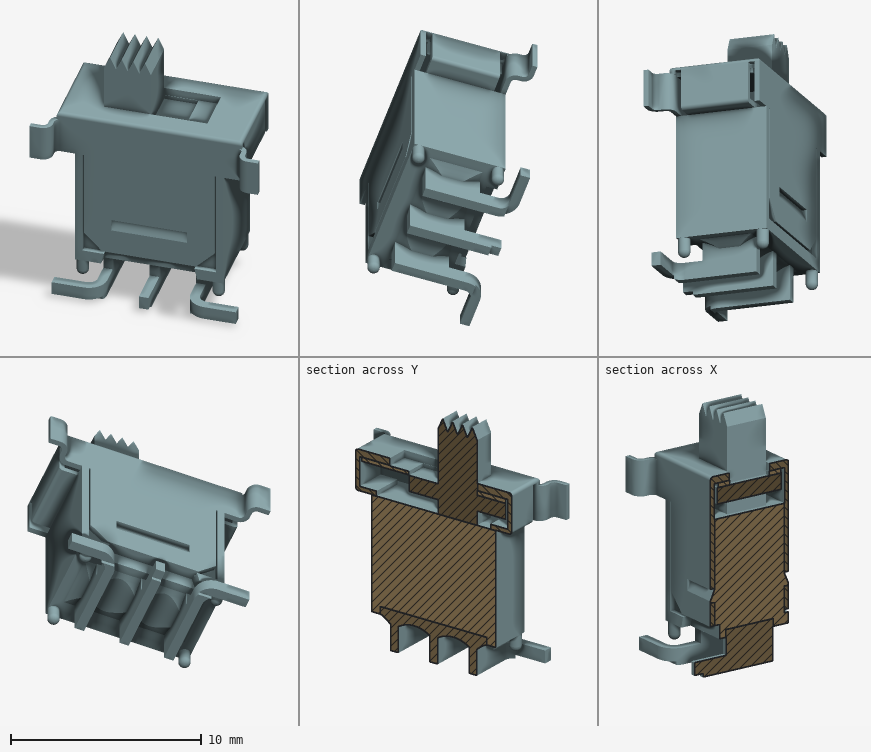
import cadquery as cq
import math


overall_height = 14.2

half_depth = 2.53
housing_half_width = 4.05
housing_top = 6.73
recess_half_width = 3.65
recess_bottom = 0.64
notch_half_width_bottom = 2.63
notch_half_width_top = 2.44
notch_depth = 0.6
pin_diameter = 0.65
pin_length = 1.01
pin_end_radius = 0.31
latch_half_width = 2.07
latch_top = 2.87
latch_lip_top = 2.22
latch_bottom = 2.09

sheet = 0.28
cover_half_width = 5.07
cover_top = 9.13
cover_roof = 0.44
cover_edge_radius = 0.2
plate_half_width = 3.56
plate_bottom = 0.8
plate_chamfer = 1.0
slot_half_length = 2.83
slot_half_depth = 1.28
tab_half_depth = 1.87
tab_foot_end = 3.69
bracket_top = 8.73
bracket_start = 4.85
bracket_straight = 0.23
bracket_bend = 0.25
bracket_end = 6.25

knob_left = -slot_half_length
knob_width = 2.55
knob_half_depth = 1.25
knob_root = 11.6
tooth_height = 0.68
tooth_count = 4
flange_half_length = 3.14
flange_half_depth = 2.07
flange_thickness = 0.94
gasket_half_length = 4.69
gasket_half_depth = 2.02
gasket_thickness = 0.23
gasket_hole_right = 1.6

terminal_pitch = 2.54
terminal_width = 0.53
terminal_half_depth = 1.5
terminal_bottom = knob_root + tooth_height - overall_height
leg_top = -0.98
foot_bottom = -1.72
foot_half_span = 5.04
terminal_bend = 0.48
terminal_front = -3.55
clearance_front = -3.0
seal_half_width = 3.44
seal_half_depth = 1.46
seal_embedment = 0.43
seal_climb = 0.41
seal_valley = 0.11
seal_crest_half_depth = 0.58
seal_sag = 0.04

wall_inside = half_depth - sheet
roof_underside = cover_top - cover_roof
flange_top = roof_underside - gasket_thickness
flange_bottom = flange_top - flange_thickness
knob_middle = knob_left + knob_width / 2
outer_bend = bracket_bend + sheet
diagonal = math.sqrt(0.5)


def box(x0, x1, y0, y1, z0, z1):
    """Block between two opposite corners."""
    return cq.Workplane("XY").box(x1 - x0, y1 - y0, z1 - z0, centered=False).translate((x0, y0, z0))


def mirrored_in_x(half):
    """A feature on the left together with its mirror image on the right."""
    return half.union(half.mirror("YZ"))


def mirrored_in_y(half):
    """A feature at the front together with its mirror image at the back."""
    return half.union(half.mirror("XZ"))


def make_latch():
    """Snap wedge on the front recess floor, flush with the housing front at its lip."""
    profile = [
        (-wall_inside, latch_bottom),
        (-half_depth, latch_bottom),
        (-half_depth, latch_lip_top),
        (-wall_inside, latch_top),
    ]
    wedge = cq.Workplane("YZ").polyline(profile).close()
    return wedge.extrude(latch_half_width, both=True)


def make_bottom_notch():
    """Tapered notch in the lower front edge of the housing."""
    profile = [
        (-notch_half_width_bottom, 0),
        (notch_half_width_bottom, 0),
        (notch_half_width_top, plate_bottom),
        (-notch_half_width_top, plate_bottom),
    ]
    notch = cq.Workplane("XZ", origin=(0, -half_depth, 0)).polyline(profile).close()
    return notch.extrude(-notch_depth)


def make_housing():
    body = box(-housing_half_width, housing_half_width, -half_depth, half_depth, 0, housing_top)
    recess = box(
        -recess_half_width, recess_half_width, -half_depth, -wall_inside, recess_bottom, housing_top
    )
    body = body.cut(mirrored_in_y(recess)).cut(make_bottom_notch())
    body = body.union(mirrored_in_y(make_latch()))

    pin_radius = pin_diameter / 2
    pin_x = housing_half_width - pin_radius
    pin_y = half_depth - pin_radius
    pins = cq.Workplane("XY").rect(2 * pin_x, 2 * pin_y, forConstruction=True).vertices()
    pins = pins.circle(pin_radius).extrude(-pin_length).faces("<Z").edges().fillet(pin_end_radius)
    return body.union(pins)


def make_bracket():
    """Left mounting bracket: a strip bent forward and then outward."""
    forward_x = bracket_start + outer_bend
    foot_x = forward_x + bracket_bend
    first_center = -half_depth - bracket_bend
    second_center = first_center - bracket_straight
    strip = (
        cq.Workplane("XY", origin=(0, 0, housing_top))
        .moveTo(-bracket_start, -wall_inside)
        .threePointArc(
            (-bracket_start - outer_bend * diagonal, first_center + outer_bend * diagonal),
            (-forward_x, first_center),
        )
        .lineTo(-forward_x, second_center)
        .threePointArc(
            (-foot_x + bracket_bend * diagonal, second_center - bracket_bend * diagonal),
            (-foot_x, second_center - bracket_bend),
        )
        .lineTo(-bracket_end, second_center - bracket_bend)
        .lineTo(-bracket_end, second_center - outer_bend)
        .lineTo(-foot_x, second_center - outer_bend)
        .threePointArc(
            (-foot_x + outer_bend * diagonal, second_center - outer_bend * diagonal),
            (-forward_x + sheet, second_center),
        )
        .lineTo(-forward_x + sheet, first_center)
        .threePointArc(
            (-bracket_start - bracket_bend * diagonal, first_center + bracket_bend * diagonal),
            (-bracket_start, -half_depth),
        )
        .close()
    )
    return strip.extrude(bracket_top - housing_top)


def make_cover_plate():
    """Front plate that reaches down over the housing, with its latch window."""
    plate = box(-plate_half_width, plate_half_width, -half_depth, -wall_inside, plate_bottom, housing_top)
    plate = plate.faces("<Z").edges("|Y").chamfer(plate_chamfer)
    window = box(
        -latch_half_width, latch_half_width, -half_depth, -wall_inside, latch_bottom, latch_top
    )
    return plate.cut(window)


def make_corner_relief():
    """Front left relief between an end wall and a side wall, with a round inner end."""
    relief_width = wall_inside - tab_half_depth
    relief_y = -(wall_inside + tab_half_depth) / 2
    wall_x = cover_half_width - sheet
    relief_top = cover_top - cover_edge_radius
    cut = box(-cover_half_width, -wall_x, -wall_inside, -tab_half_depth, housing_top, relief_top)
    round_end = cq.Workplane("XY", origin=(-wall_x, relief_y, housing_top)).circle(relief_width / 2)
    return cut.union(round_end.extrude(relief_top - housing_top))


def make_end_foot():
    """Foot of the left end wall, resting on the housing."""
    foot_top = housing_top + sheet
    return box(-cover_half_width, -tab_foot_end, -tab_half_depth, tab_half_depth, housing_top, foot_top)


def make_cover():
    shell = box(-cover_half_width, cover_half_width, -half_depth, half_depth, housing_top, cover_top)
    shell = shell.faces(">Z").edges().fillet(cover_edge_radius)
    end_inside = cover_half_width - sheet
    shell = shell.cut(box(-end_inside, end_inside, -wall_inside, wall_inside, housing_top, roof_underside))
    slot = box(
        -slot_half_length, slot_half_length, -slot_half_depth, slot_half_depth, roof_underside, cover_top
    )
    shell = shell.cut(slot)
    shell = shell.cut(mirrored_in_x(mirrored_in_y(make_corner_relief())))

    bracket_gap = box(
        -cover_half_width, -bracket_start, -half_depth, -wall_inside, housing_top, bracket_top
    )
    shell = shell.cut(mirrored_in_x(bracket_gap)).union(mirrored_in_x(make_bracket()))
    shell = shell.union(mirrored_in_y(make_cover_plate()))

    shell = shell.union(mirrored_in_x(make_end_foot()))
    for side in (-1, 1):
        foot_corner = cq.selectors.NearestToPointSelector((side * cover_half_width, 0, housing_top))
        shell = shell.edges(foot_corner).fillet(cover_edge_radius)
    return shell


def make_slider():
    """Toothed knob whose shank stands on the housing and carries a flange."""
    tooth_pitch = knob_width / tooth_count
    profile = [(knob_left + knob_width, housing_top), (knob_left, housing_top), (knob_left, knob_root)]
    for tooth in range(tooth_count):
        tooth_left = knob_left + tooth * tooth_pitch
        profile.append((tooth_left + tooth_pitch / 2, knob_root + tooth_height))
        profile.append((tooth_left + tooth_pitch, knob_root))
    knob = cq.Workplane("XZ").polyline(profile).close().extrude(knob_half_depth, both=True)
    flange = box(
        knob_middle - flange_half_length, knob_middle + flange_half_length,
        -flange_half_depth, flange_half_depth, flange_bottom, flange_top,
    )
    return knob.union(flange)


def make_gasket():
    """Flat seal between the slider flange and the cover, open around the knob."""
    plate = box(
        -gasket_half_length, gasket_half_length,
        -gasket_half_depth, gasket_half_depth, flange_top, roof_underside,
    )
    opening = box(
        knob_left, gasket_hole_right, -knob_half_depth, knob_half_depth, flange_top, roof_underside
    )
    return plate.cut(opening)


def make_middle_leg():
    """Straight forward leg of the middle terminal."""
    half = terminal_width / 2
    return box(-half, half, terminal_front, -terminal_half_depth, terminal_bottom, leg_top)


def make_bent_leg():
    """Leg of the left terminal, running forward and then bent outward."""
    inner_x = -terminal_pitch + terminal_width / 2
    outer_x = inner_x - terminal_width
    outer_radius = terminal_bend + terminal_width
    center_x = outer_x - terminal_bend
    center_y = terminal_front + outer_radius
    leg = (
        cq.Workplane("XY", origin=(0, 0, terminal_bottom))
        .moveTo(outer_x, -terminal_half_depth)
        .lineTo(outer_x, center_y)
        .threePointArc(
            (center_x + terminal_bend * diagonal, center_y - terminal_bend * diagonal),
            (center_x, center_y - terminal_bend),
        )
        .lineTo(-foot_half_span, center_y - terminal_bend)
        .lineTo(-foot_half_span, terminal_front)
        .lineTo(center_x, terminal_front)
        .threePointArc(
            (center_x + outer_radius * diagonal, center_y - outer_radius * diagonal),
            (inner_x, center_y),
        )
        .lineTo(inner_x, -terminal_half_depth)
        .close()
    )
    return leg.extrude(leg_top - terminal_bottom)


def make_seal():
    """Potting plug whose underside sinks between the terminals and runs down each of them."""
    half = terminal_width / 2
    outer_side = terminal_pitch + half
    slope_x = (seal_half_width + outer_side) / 2
    slope_y = (seal_half_depth + seal_crest_half_depth) / 2
    slope_z = seal_sag - seal_climb / 2

    lengthwise = (
        cq.Workplane("XZ")
        .moveTo(-seal_half_width, seal_embedment)
        .lineTo(-seal_half_width, 0)
        .threePointArc((-slope_x, slope_z), (-outer_side, -seal_climb))
        .lineTo(-terminal_pitch + half, -seal_climb)
        .threePointArc((-terminal_pitch / 2, -seal_valley), (-half, -seal_climb))
        .lineTo(half, -seal_climb)
        .threePointArc((terminal_pitch / 2, -seal_valley), (terminal_pitch - half, -seal_climb))
        .lineTo(outer_side, -seal_climb)
        .threePointArc((slope_x, slope_z), (seal_half_width, 0))
        .lineTo(seal_half_width, seal_embedment)
        .close()
        .extrude(seal_half_depth, both=True)
    )
    crosswise = (
        cq.Workplane("YZ")
        .moveTo(-seal_half_depth, seal_embedment)
        .lineTo(-seal_half_depth, 0)
        .threePointArc((-slope_y, slope_z), (-seal_crest_half_depth, -seal_climb))
        .lineTo(seal_crest_half_depth, -seal_climb)
        .threePointArc((slope_y, slope_z), (seal_half_depth, 0))
        .lineTo(seal_half_depth, seal_embedment)
        .close()
        .extrude(seal_half_width, both=True)
    )
    return lengthwise.intersect(crosswise)


def make_terminal_set():
    """Three terminals joined by the potting seal."""
    legs = make_middle_leg().union(mirrored_in_x(make_bent_leg()))
    clearance = box(
        -foot_half_span, foot_half_span, terminal_front, clearance_front, terminal_bottom, foot_bottom
    )
    legs = legs.cut(clearance)

    terminal_set = make_seal().union(legs)
    half = terminal_width / 2
    for position in (-1, 0, 1):
        x = position * terminal_pitch
        blade = box(
            x - half, x + half, -terminal_half_depth, terminal_half_depth, terminal_bottom, seal_embedment
        )
        terminal_set = terminal_set.union(blade)
    return terminal_set


cover = make_cover()
slider = make_slider()
gasket = make_gasket()
terminal_set = make_terminal_set()
housing = make_housing().cut(terminal_set)

result = cq.Compound.makeCompound(
    [housing.val(), cover.val(), slider.val(), gasket.val(), terminal_set.val()]
)